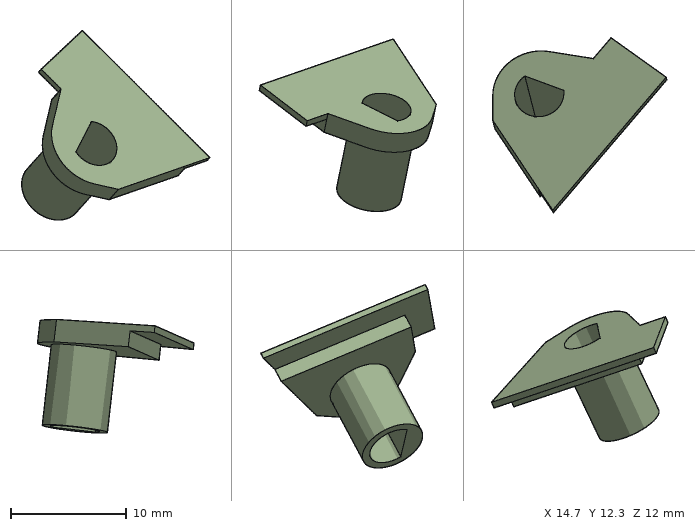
import cadquery as cq
import math

LEAN_ABOUT_Y = 22
LEAN_ABOUT_EDGE = 11.7
CORNER = (-6.67, 0.06, 5.99)

TAB_WIDTH = 2.45
TAB_DEPTH = 6.21
BACK_LENGTH = 15.65
SIDE_CORNER = (12.2, -3.37)
FLANGE_THICKNESS = 0.59
PLATE_THICKNESS = 1.97
STEP_OFFSET = 3.85

TUBE_CENTER = (7.86, -1.66)
TUBE_RADIUS = 2.85
TUBE_END_DEPTH = 9.01
NOSE_RADIUS = 4.06
BORE_RADIUS = 2.15
FLAT_DISTANCE = 1.09
FLAT_ANGLE = 15.4


def tangent_point(start, side):
    """Touching point on the nose circle of the line from start; side is +1 or -1."""
    dx = start[0] - TUBE_CENTER[0]
    dy = start[1] - TUBE_CENTER[1]
    angle = math.atan2(dy, dx) + side * math.acos(NOSE_RADIUS / math.hypot(dx, dy))
    return on_nose(angle)


def on_nose(angle):
    """Point of the nose circle at an angle in radians."""
    return (
        TUBE_CENTER[0] + NOSE_RADIUS * math.cos(angle),
        TUBE_CENTER[1] + NOSE_RADIUS * math.sin(angle),
    )


def make_plate():
    """Full-thickness plate with a round nose, cut back to a thin flange along its rear."""
    inner_corner = (TAB_WIDTH, 0)
    outline = (
        cq.Workplane("XY")
        .moveTo(0, 0)
        .lineTo(*inner_corner)
        .lineTo(*tangent_point(inner_corner, 1))
        .threePointArc(on_nose(-math.pi / 2), tangent_point(SIDE_CORNER, -1))
        .lineTo(*SIDE_CORNER)
        .lineTo(BACK_LENGTH, TAB_DEPTH)
        .lineTo(0, TAB_DEPTH)
        .close()
    )
    plate = outline.extrude(-PLATE_THICKNESS)
    step_height = PLATE_THICKNESS - FLANGE_THICKNESS
    floor = cq.Workplane("XY").workplane(offset=-PLATE_THICKNESS)
    under_tab = floor.rect(TAB_WIDTH, TAB_DEPTH, centered=False).extrude(step_height)
    under_rear = (
        floor.center(0, STEP_OFFSET)
        .rect(BACK_LENGTH, TAB_DEPTH - STEP_OFFSET, centered=False)
        .extrude(step_height)
    )
    return plate.cut(under_tab).cut(under_rear)


def make_tube():
    """Round post reaching from the plate's top face to the free end."""
    return cq.Workplane("XY").center(*TUBE_CENTER).circle(TUBE_RADIUS).extrude(-TUBE_END_DEPTH)


def make_bore():
    """D-shaped through bore with its flat facing the tab."""
    bore = cq.Workplane("XY").circle(BORE_RADIUS).extrude(-TUBE_END_DEPTH)
    keep = (
        cq.Workplane("XY")
        .center(BORE_RADIUS - FLAT_DISTANCE, 0)
        .rect(2 * BORE_RADIUS, 2 * BORE_RADIUS)
        .extrude(-TUBE_END_DEPTH)
    )
    return bore.intersect(keep).rotate((0, 0, 0), (0, 0, 1), FLAT_ANGLE).translate((*TUBE_CENTER, 0))


part = make_plate().union(make_tube()).cut(make_bore())
result = (
    part.rotate((0, 0, 0), (1, 0, 0), -LEAN_ABOUT_EDGE)
    .rotate((0, 0, 0), (0, 1, 0), LEAN_ABOUT_Y)
    .translate(CORNER)
)